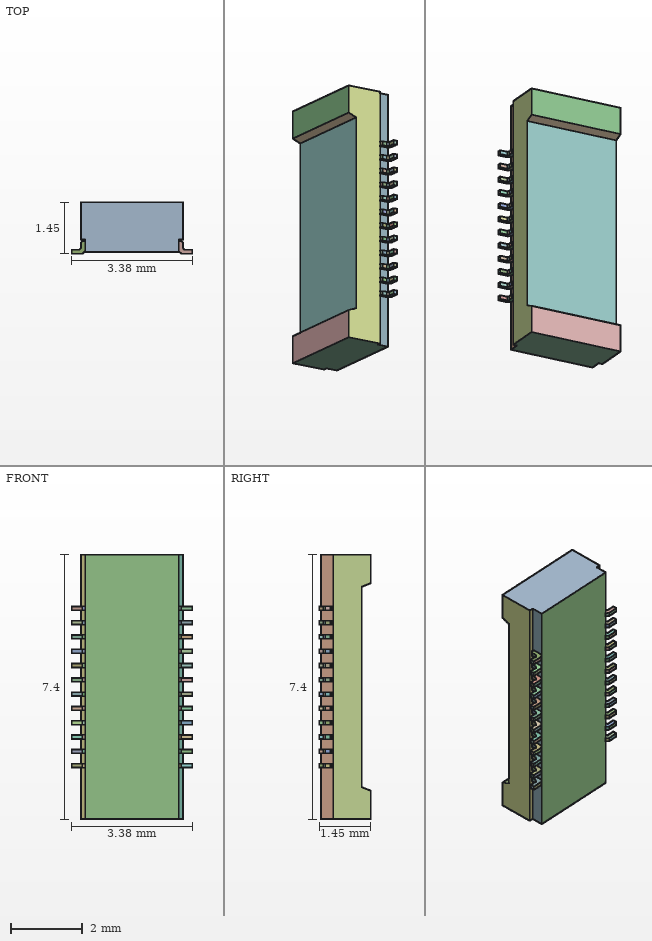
import cadquery as cq

total_depth = 1.45
housing_width = 2.86
housing_height = 7.4
standoff = 0.05
shoulder_width = 0.12
shoulder_y = 0.40

recess_depth = 0.25
end_block_height = 0.80
recess_slope_height = 0.10

contact_count = 12
contact_pitch = 0.4
contact_width = 0.115
contact_thickness = 0.12
contact_span = 3.38
contact_top_y = 0.36
contact_embed = 0.05

bend_run = 0.037
bend_rise = 0.05
heel_run = 0.075
heel_rise = 0.07

half_width = housing_width / 2
half_height = housing_height / 2
wall_x = half_width - shoulder_width


def make_housing():
    """Block whose front portion is narrowed by a shoulder along each side."""
    front_depth = shoulder_y - standoff
    back = cq.Workplane("XY").box(
        housing_width, total_depth - shoulder_y, housing_height, centered=(True, False, True)
    ).translate((0, shoulder_y, 0))
    front = cq.Workplane("XY").box(
        2 * wall_x, front_depth, housing_height, centered=(True, False, True)
    ).translate((0, standoff, 0))
    return back.union(front)


def make_back_recess():
    """Full-width trapezoidal channel with sloped ends."""
    floor_y = total_depth - recess_depth
    mouth_z = half_height - end_block_height
    floor_z = mouth_z - recess_slope_height
    outline = [
        (total_depth, -mouth_z),
        (floor_y, -floor_z),
        (floor_y, floor_z),
        (total_depth, mouth_z),
    ]
    return cq.Workplane("YZ").polyline(outline).close().extrude(half_width, both=True)


def make_contact(z):
    """L-shaped contact on the +X side: leg against the wall, foot pointing outwards."""
    tip_x = contact_span / 2
    leg_x = wall_x + contact_thickness
    root_x = wall_x - contact_embed
    foot_y = contact_thickness
    outline = [
        (root_x, contact_top_y),
        (leg_x - bend_run, contact_top_y),
        (leg_x, contact_top_y - bend_rise),
        (leg_x, foot_y + bend_rise),
        (leg_x + bend_run, foot_y),
        (tip_x, foot_y),
        (tip_x, 0),
        (wall_x + heel_run, 0),
        (wall_x, heel_rise),
        (root_x, heel_rise),
    ]
    profile = cq.Workplane("XY").polyline(outline).close()
    return profile.extrude(contact_width / 2, both=True).translate((0, 0, z))


result = make_housing().cut(make_back_recess())
for index in range(contact_count):
    contact_z = (index - (contact_count - 1) / 2) * contact_pitch
    contact = make_contact(contact_z)
    result = result.union(contact).union(contact.mirror("YZ"))